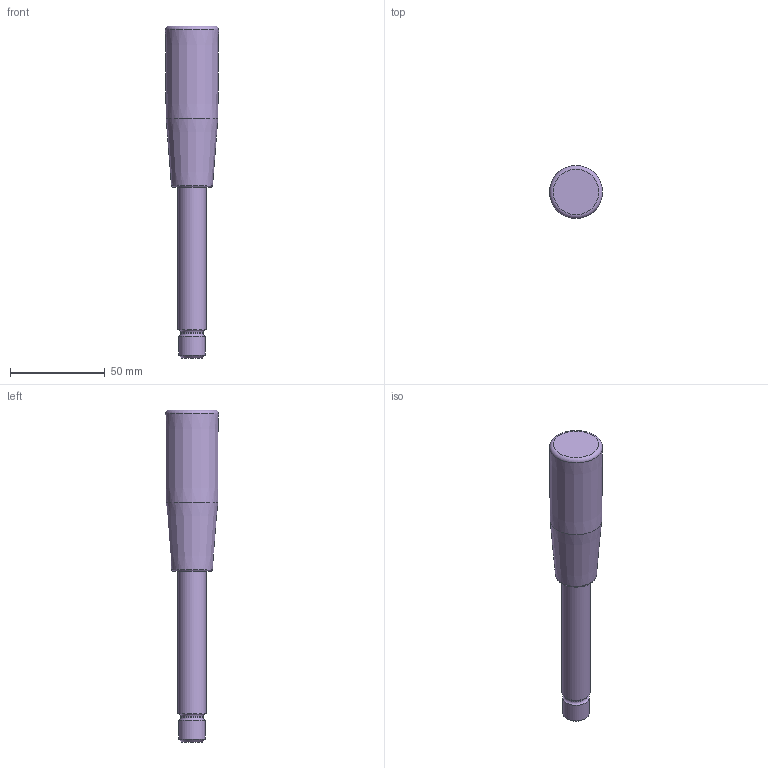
import cadquery as cq
import math

total_length = 175.0

grip_length = 85.0
grip_top_diameter = 28.0
grip_waist_diameter = 27.3
grip_bottom_diameter = 21.5
grip_waist_depth = 48.7
grip_top_fillet = 2.0
grip_bottom_fillet = 1.0

shaft_diameter = 15.0
shaft_start_z = 15.0
tip_diameter = 14.0
tip_end_chamfer = 1.5
groove_diameter = 11.8
groove_floor_width = 0.4

grip_bottom_z = total_length - grip_length
grip_waist_z = total_length - grip_waist_depth
shaft_radius = shaft_diameter / 2
tip_radius = tip_diameter / 2
groove_radius = groove_diameter / 2

flank_radius = shaft_radius - groove_radius
groove_floor_top = shaft_start_z - flank_radius
groove_floor_bottom = groove_floor_top - groove_floor_width

upper_flank_angle = math.pi / 2
lower_flank_angle = math.acos((shaft_radius - tip_radius) / flank_radius)


def flank_point(floor_z, angle):
    """Point on a flank arc, at a signed angle from where it leaves the floor."""
    return (
        shaft_radius - flank_radius * math.cos(angle),
        floor_z + flank_radius * math.sin(angle),
    )


def make_grip():
    """Solid double-taper grip with rounded rims at both ends."""
    grip = (
        cq.Workplane("XZ")
        .moveTo(0, grip_bottom_z)
        .lineTo(grip_bottom_diameter / 2, grip_bottom_z)
        .lineTo(grip_waist_diameter / 2, grip_waist_z)
        .lineTo(grip_top_diameter / 2, total_length)
        .lineTo(0, total_length)
        .close()
        .revolve(360, (0, 0), (0, 1))
    )
    grip = grip.faces(">Z").edges().fillet(grip_top_fillet)
    return grip.faces("<Z").edges().fillet(grip_bottom_fillet)


def make_shaft():
    """Shaft with the chamfered tip and the groove, reaching up into the grip."""
    tip_edge = flank_point(groove_floor_bottom, -lower_flank_angle)
    lower_middle = flank_point(groove_floor_bottom, -lower_flank_angle / 2)
    upper_middle = flank_point(groove_floor_top, upper_flank_angle / 2)
    return (
        cq.Workplane("XZ")
        .lineTo(tip_radius - tip_end_chamfer, 0)
        .lineTo(tip_radius, tip_end_chamfer)
        .lineTo(*tip_edge)
        .threePointArc(lower_middle, (groove_radius, groove_floor_bottom))
        .lineTo(groove_radius, groove_floor_top)
        .threePointArc(upper_middle, (shaft_radius, shaft_start_z))
        .lineTo(shaft_radius, grip_waist_z)
        .lineTo(0, grip_waist_z)
        .close()
        .revolve(360, (0, 0), (0, 1))
    )


result = make_grip().union(make_shaft())